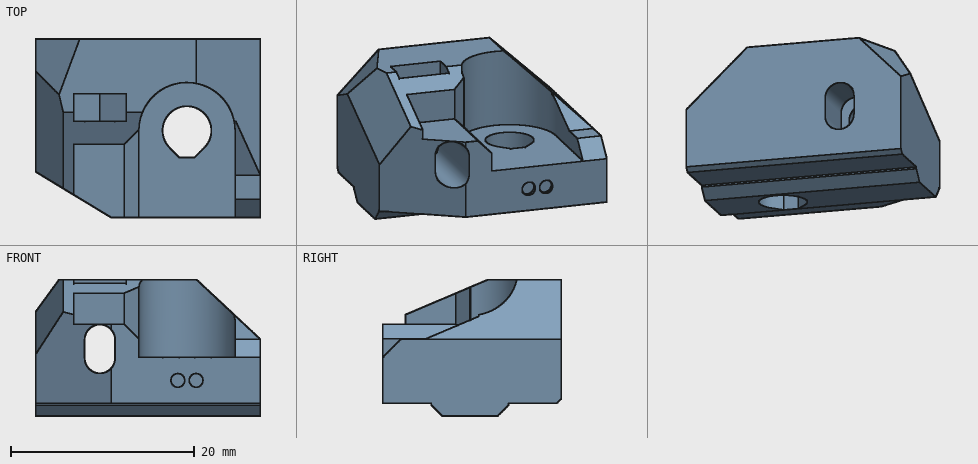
import cadquery as cq
import math

length = 24.5
width = 19.5
height = 14.9

rail_height = 1.4
rail_front = 5.3
rail_back = 13.75
rail_taper = 1.2
back_edge_chamfer = 0.5

corner_cut_x = 8.25
corner_cut_y = 5.0
slope_start_y = 11.5
slope_angle = 23
slope_rate = math.tan(math.radians(slope_angle))
left_bevel_x = 3.0
left_bevel_drop = 5.4
corner_bevel = 4.8
corner_bevel_rate = 0.37
right_bevel_x = 6.96
right_bevel_z = 6.5
right_edge_z = height - right_bevel_z

seat_x = 16.5
seat_y = 9.5
seat_radius = 5.25
seat_floor_z = 6.4
seat_left = seat_x - seat_radius
seat_right = seat_x + seat_radius
hole_radius = 2.65
teardrop_ratio = 1.1
teardrop_flat = teardrop_ratio * hole_radius

lip_slope_foot_y = 4.65
lip_overlap = 0.2
lip_start_x = seat_right - lip_overlap
lip_slope_end_y = seat_y + 1.0

shelf_left = 4.15
shelf_back_y = 8.0
shelf_z = 10.03
shelf_bevel = 1.6
shelf_bevel_x = seat_left - shelf_bevel

slot_x = 7.0
slot_width = 3.3
slot_bottom_z = 4.68
slot_top_z = 9.98
nut_flats = 5.73
nut_front_y = 10.5
nut_back_y = 13.5
nut_center_z = slot_bottom_z + slot_width / 2

dimple_diameter = 1.5
dimple_spacing = 2.0
dimple_depth = 0.5
dimple_z = 3.9

margin = 1.0


def prism_x(points, x_start, x_end):
    """Extrude a (Y, Z) outline along X."""
    return cq.Workplane("YZ", origin=(x_start, 0, 0)).polyline(points).close().extrude(x_end - x_start)


def prism_y(points, y_start, y_end):
    """Extrude an (X, Z) outline along +Y."""
    return cq.Workplane("XZ", origin=(0, y_start, 0)).polyline(points).close().extrude(y_start - y_end)


def prism_z(points, z_start, z_end):
    """Extrude an (X, Y) outline along Z."""
    return cq.Workplane("XY", origin=(0, 0, z_start)).polyline(points).close().extrude(z_end - z_start)


def cut_above_plane(body, point, rate_x, rate_y):
    """Remove everything above the plane through point that rises at rate_x along X and rate_y along Y."""
    reach = 2 * (length + width + height)
    plane = cq.Plane(origin=point, xDir=(1, 0, rate_x), normal=(-rate_x, -rate_y, 1))
    return body.cut(cq.Workplane(plane).rect(reach, reach).extrude(reach))


def make_block():
    """Side profile with rail and front slope, with the front left corner cut off."""
    profile = [
        (0, rail_height),
        (rail_front, rail_height),
        (rail_front, rail_taper),
        (rail_front + rail_taper, 0),
        (rail_back - rail_taper, 0),
        (rail_back, rail_taper),
        (rail_back, rail_height),
        (width - back_edge_chamfer, rail_height),
        (width, rail_height + back_edge_chamfer),
        (width, height),
        (slope_start_y, height),
        (0, height - slope_start_y * slope_rate),
    ]
    corner = [(0, 0), (corner_cut_x, 0), (0, corner_cut_y)]
    return prism_x(profile, 0, length).cut(prism_z(corner, 0, height))


def cut_bevels(body):
    """Left side bevel, back left corner bevel and right side bevel."""
    left_rate = left_bevel_drop / left_bevel_x
    body = cut_above_plane(body, (left_bevel_x, slope_start_y, height), left_rate, slope_rate)
    body = cut_above_plane(body, (corner_bevel, width, height), 1, -corner_bevel_rate)
    return cut_above_plane(body, (length, 0, right_edge_z), -right_bevel_z / right_bevel_x, 0)


def make_seat():
    """U-shaped recess open to the front and top."""
    return (
        cq.Workplane("XY", origin=(0, 0, seat_floor_z))
        .moveTo(seat_left, -margin)
        .lineTo(seat_left, seat_y)
        .threePointArc((seat_x, seat_y + seat_radius), (seat_right, seat_y))
        .lineTo(seat_right, -margin)
        .close()
        .extrude(height)
    )


def make_teardrop_hole():
    """Vertical through hole with a blunt 45 degree point towards the front."""
    tangent = hole_radius / math.sqrt(2)
    flat_half_width = hole_radius * math.sqrt(2) - teardrop_flat
    return (
        cq.Workplane("XY", origin=(seat_x, seat_y, -margin))
        .moveTo(-flat_half_width, -teardrop_flat)
        .lineTo(-tangent, -tangent)
        .threePointArc((0, hole_radius), (tangent, -tangent))
        .lineTo(flat_half_width, -teardrop_flat)
        .close()
        .extrude(height)
    )


def make_lip_cut():
    """Space above the lip: a 45 degree front bevel, a flat and a slope."""
    lip_bevel = right_edge_z - seat_floor_z
    slope_end_z = right_edge_z + (lip_slope_end_y - lip_slope_foot_y) * slope_rate
    profile = [
        (0, seat_floor_z),
        (lip_bevel, right_edge_z),
        (lip_slope_foot_y, right_edge_z),
        (lip_slope_end_y, slope_end_z),
        (lip_slope_end_y, height),
        (0, height),
    ]
    return prism_x(profile, lip_start_x, length)


def make_shelf_cut():
    """Space above the shelf, with a 45 degree bevel down to the seat and a 45 degree inner corner."""
    section = [
        (shelf_left, shelf_z),
        (shelf_bevel_x, shelf_z),
        (seat_left, shelf_z - shelf_bevel),
        (seat_left, height),
        (shelf_left, height),
    ]
    footprint = [
        (shelf_left, 0),
        (seat_left, 0),
        (seat_left, shelf_back_y + shelf_bevel),
        (shelf_bevel_x, shelf_back_y),
        (shelf_left, shelf_back_y),
    ]
    return prism_y(section, 0, width).intersect(prism_z(footprint, 0, height))


def make_adjustment_slot():
    """Upright rounded slot running through the block along Y."""
    slot_length = slot_top_z - slot_bottom_z
    slot_center_z = (slot_top_z + slot_bottom_z) / 2
    return (
        cq.Workplane("XZ", origin=(slot_x, 0, slot_center_z))
        .slot2D(slot_length, slot_width, 90)
        .extrude(-width)
    )


def make_nut_trap():
    """Pocket open to the top, with the lower half of a hexagon as its floor."""
    half_flats = nut_flats / 2
    point_z = nut_center_z - nut_flats / math.sqrt(3)
    side_z = nut_center_z - half_flats / math.sqrt(3)
    section = [
        (slot_x - half_flats, height),
        (slot_x - half_flats, side_z),
        (slot_x, point_z),
        (slot_x + half_flats, side_z),
        (slot_x + half_flats, height),
    ]
    return prism_y(section, nut_front_y, nut_back_y)


def make_dimples():
    """Pair of shallow round dimples below the seat."""
    offset = dimple_spacing / 2
    return (
        cq.Workplane("XZ", origin=(seat_x, 0, dimple_z))
        .pushPoints([(-offset, 0), (offset, 0)])
        .circle(dimple_diameter / 2)
        .extrude(-dimple_depth)
    )


result = cut_bevels(make_block())
cutters = [
    make_seat(),
    make_teardrop_hole(),
    make_lip_cut(),
    make_shelf_cut(),
    make_adjustment_slot(),
    make_nut_trap(),
    make_dimples(),
]
for cutter in cutters:
    result = result.cut(cutter)